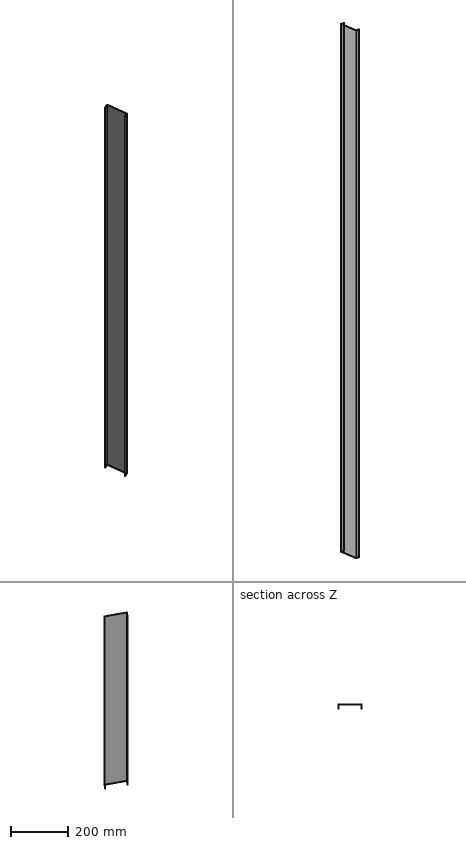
import cadquery as cq

WIDTH = 80.6
DEPTH = 15.0
LENGTH = 2000.0

THICKNESS = 1.0


def make_channel():
    """U-shaped profile along Z: web on the +Y side, flanges pointing to -Y, open at -Y."""
    envelope = cq.Workplane("XY").box(WIDTH, DEPTH, LENGTH)
    inner_width = WIDTH - 2 * THICKNESS
    cavity = cq.Workplane("XY").box(inner_width, DEPTH, LENGTH).translate((0, -THICKNESS, 0))
    return envelope.cut(cavity)


result = make_channel()